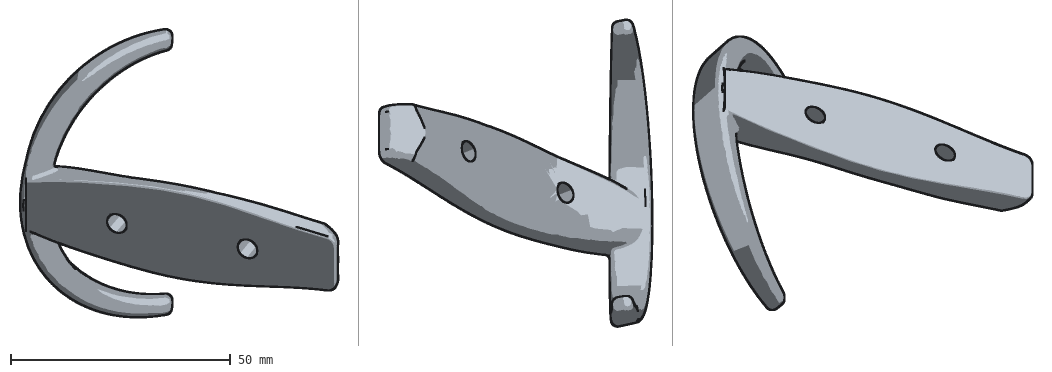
import cadquery as cq
import math


plate_length = 80.1
root_x = 1.2
root_half_width = 5.6
neck_x = 8.8
neck_half_width = 7.6
belly_x = 24.0
belly_half_width = 10.1
widest_x = 40.9
widest_half_width = 11.4
waist_x = 56.1
waist_half_width = 10.2
taper_x = 68.9
taper_half_width = 8.1
end_half_width = 6.9

plate_stock = 24.0
foot_x = 4.0
crown_radius = 21.6
crown_half_span = 16.0
ridge_start = (root_x, 10.1)
ridge_points = [
    (10.4, 9.7),
    (26.4, 7.4),
    (38.45, 7.1),
    (50.5, 7.3),
    (61.45, 7.85),
    (69.7, 7.85),
    (82.5, 7.5),
]
nose_start = (69.7, 7.9)
nose_points = [(79.1, 3.8), (75.95, 6.5), nose_start]
nose_rise = 0.65
nose_lean = (-0.1, 1.0)
top_fillet = 2.4
face_fillet = 0.5

hole_diameter = 4.8
hole_xs = (26.35, 58.4)

arm_half_height = 36.45
arm_front_angle = 45.0
arm_back_angle = 36.0
arm_front_x = 4.3
arm_back_y = 9.7
tip_front_x = 29.65
tip_back_x = 28.05
outer_tilt = 15.5
outer_start = 2.3
outer_depth = 32.05
inner_start = 9.2
inner_depth = 30.45
inner_half_height = 32.3
ellipse_overrun = 40.0
arm_fillet = 1.6

corner_fillet = 1.0
corner_x_range = (5.6, 12.8)
corner_top_y = 8.0
corner_half_height = 8.4

reach = 80.1
face_margin = 0.1


def upright_plane(angle):
    """Plane holding Z and the direction at this angle from +X, its normal towards -Y."""
    turn = math.radians(angle)
    return cq.Plane(
        origin=(0, 0, 0),
        xDir=(math.cos(turn), math.sin(turn), 0),
        normal=(math.sin(turn), -math.cos(turn), 0),
    )


def elliptic_prism(angle, start, depth, half_height):
    """Prism of elliptic section, cut off flat beyond its centre; its apex is `start` from the Z axis."""
    return (
        cq.Workplane(upright_plane(angle))
        .workplane(offset=-reach)
        .center(start + depth, 0)
        .ellipseArc(
            half_height,
            depth,
            -ellipse_overrun,
            180 + ellipse_overrun,
            rotation_angle=90,
            startAtCurrent=False,
        )
        .close()
        .extrude(2 * reach)
    )


def make_arms():
    """Tapered crescent, rounded along every edge and trimmed flush with the mounting face."""
    front_slope = math.tan(math.radians(arm_front_angle))
    back_slope = math.tan(math.radians(arm_back_angle))
    low_x = -arm_front_x
    wedge = (
        cq.Workplane("XY")
        .moveTo(low_x, (low_x - arm_front_x) * front_slope)
        .lineTo(tip_front_x, (tip_front_x - arm_front_x) * front_slope)
        .lineTo(tip_back_x, arm_back_y + tip_back_x * back_slope)
        .lineTo(low_x, arm_back_y + low_x * back_slope)
        .close()
        .extrude(reach, both=True)
    )
    outer = elliptic_prism(outer_tilt, outer_start, outer_depth, arm_half_height)
    inner = elliptic_prism(arm_front_angle, inner_start, inner_depth, inner_half_height)
    crescent = wedge.intersect(outer).cut(inner).edges().fillet(arm_fillet)
    below_face = cq.Workplane("XY").box(2 * reach, reach, 2 * reach).translate((0, -reach / 2, 0))
    return crescent.cut(below_face)


def make_outline():
    """Straight-sided block with the plate's outline, mirrored about z = 0."""
    side = [
        (neck_x, neck_half_width),
        (belly_x, belly_half_width),
        (widest_x, widest_half_width),
        (waist_x, waist_half_width),
        (taper_x, taper_half_width),
        (plate_length, end_half_width),
    ]
    half = (
        cq.Workplane("XZ")
        .moveTo(root_x, root_half_width)
        .spline(side, includeCurrent=True)
        .lineTo(plate_length, 0)
        .lineTo(root_x, 0)
        .close()
        .extrude(-plate_stock)
    )
    return half.union(half.mirror("XY"))


def make_ridge():
    """Crowned section swept along the ridge line; it bounds the back of the plate."""
    sag = crown_radius - math.sqrt(crown_radius**2 - crown_half_span**2)
    ridge_line = cq.Workplane("XY").moveTo(*ridge_start).spline(ridge_points, includeCurrent=True)
    return (
        cq.Workplane("YZ", origin=(*ridge_start, 0))
        .moveTo(-sag, -crown_half_span)
        .threePointArc((0, 0), (-sag, crown_half_span))
        .lineTo(-plate_stock, crown_half_span)
        .lineTo(-plate_stock, -crown_half_span)
        .close()
        .sweep(ridge_line)
    )


def make_side_profile():
    """Prism along Z: rounded nose at the far end, slanted root that stays inside the arms."""
    return (
        cq.Workplane("XY")
        .moveTo(foot_x, 0)
        .lineTo(plate_length, 0)
        .lineTo(plate_length, nose_rise)
        .spline(nose_points, tangents=[nose_lean, (-1, 0)], includeCurrent=True)
        .lineTo(nose_start[0], plate_stock)
        .lineTo(root_x, plate_stock)
        .lineTo(*ridge_start)
        .close()
        .extrude(crown_half_span, both=True)
    )


def is_top_rim(edge):
    """True for the edges where the plate's sides meet its back, nose and end."""
    middle = edge.Center()
    return middle.y > face_margin and middle.x > foot_x and abs(middle.z) > root_half_width


def make_plate():
    plate = make_outline().intersect(make_ridge()).intersect(make_side_profile())
    rim = [edge for edge in plate.edges().vals() if is_top_rim(edge)]
    plate = plate.newObject(rim).fillet(top_fillet)
    return plate.faces("<Y").edges("not(<X)").fillet(face_fillet)


def make_holes():
    centres = [(x, 0) for x in hole_xs]
    return cq.Workplane("XZ").pushPoints(centres).circle(hole_diameter / 2).extrude(-plate_stock)


def blend_corners(body):
    """Round the inside corners where the inner side of the arms meets the plate."""
    low_x, high_x = corner_x_range
    corners = cq.selectors.BoxSelector(
        (low_x, face_margin, -corner_half_height),
        (high_x, corner_top_y, corner_half_height),
    )
    return body.edges(corners).fillet(corner_fillet)


result = blend_corners(make_arms().union(make_plate())).cut(make_holes())